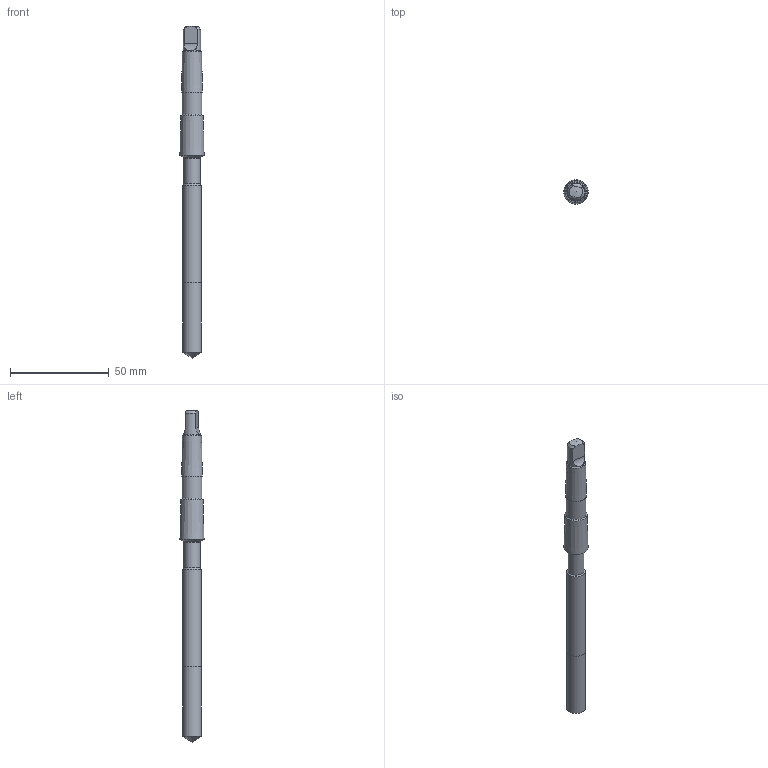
import cadquery as cq
import math

overall_length = 168.0
drill_diameter = 9.5
point_angle = 118.0
cutting_length = 38.2
body_length = 87.5

neck_diameter = 8.1
neck_fillet_radius = 0.7
collar_cone_angle = 30.0

shank_length = 65.5
taper_large_diameter = 12.24
taper_ratio = 0.04988
relief_diameter = 10.1
relief_bottom_height = 20.2
relief_top_height = 32.1

tang_length = 13.1
tang_diameter = 8.7
tang_thickness = 5.2
tang_flat_length = 8.8
tang_runout_radius = 5.0
tang_edge_chamfer_width = 1.0
tang_edge_chamfer_height = 1.2
tang_end_rise = 0.4
tang_turn = -12.5

drill_radius = drill_diameter / 2
neck_radius = neck_diameter / 2
taper_large_radius = taper_large_diameter / 2
relief_radius = relief_diameter / 2
tang_radius = tang_diameter / 2

point_height = drill_radius / math.tan(math.radians(point_angle / 2))
shoulder_rise = drill_radius - neck_radius
taper_bottom_z = overall_length - shank_length
collar_drop = (taper_large_radius - neck_radius) * math.tan(math.radians(collar_cone_angle))
relief_bottom_z = taper_bottom_z + relief_bottom_height
relief_top_z = taper_bottom_z + relief_top_height
tang_base_z = overall_length - tang_length
tang_end_z = overall_length - tang_end_rise


def taper_radius(z):
    """Radius of the Morse taper at height z."""
    return taper_large_radius - (z - taper_bottom_z) * taper_ratio / 2


collar_corner_z = taper_bottom_z - collar_drop
collar_fillet_tangent = neck_fillet_radius * math.tan(math.radians((90 - collar_cone_angle) / 2))
collar_fillet_bottom_z = collar_corner_z - collar_fillet_tangent
collar_fillet_top_z = collar_corner_z + collar_fillet_tangent * math.sin(math.radians(collar_cone_angle))
collar_fillet_top_radius = neck_radius + collar_fillet_tangent * math.cos(math.radians(collar_cone_angle))

relief_step = taper_radius(relief_bottom_z) - relief_radius
tang_step = taper_radius(tang_base_z) - tang_radius


def make_cutting_part():
    """Cylindrical cutting end with its conical point."""
    return (
        cq.Workplane("XZ")
        .moveTo(0, 0)
        .lineTo(drill_radius, point_height)
        .lineTo(drill_radius, cutting_length)
        .lineTo(0, cutting_length)
        .close()
        .revolve(360, (0, 0, 0), (0, 1, 0))
    )


def make_turned_shank():
    """Drill body, neck, relieved taper and round tang as one turned blank."""
    return (
        cq.Workplane("XZ")
        .moveTo(0, cutting_length)
        .lineTo(drill_radius, cutting_length)
        .lineTo(drill_radius, body_length)
        .radiusArc((neck_radius, body_length + shoulder_rise), shoulder_rise)
        .lineTo(neck_radius, collar_fillet_bottom_z)
        .radiusArc((collar_fillet_top_radius, collar_fillet_top_z), neck_fillet_radius)
        .lineTo(taper_large_radius, taper_bottom_z)
        .lineTo(taper_radius(relief_bottom_z), relief_bottom_z)
        .lineTo(relief_radius, relief_bottom_z + relief_step)
        .lineTo(relief_radius, relief_top_z)
        .lineTo(taper_radius(relief_top_z), relief_top_z)
        .lineTo(taper_radius(tang_base_z), tang_base_z)
        .lineTo(tang_radius, tang_base_z + tang_step)
        .lineTo(tang_radius, tang_end_z - tang_edge_chamfer_height)
        .lineTo(tang_radius - tang_edge_chamfer_width, tang_end_z)
        .lineTo(0, overall_length)
        .close()
        .revolve(360, (0, 0, 0), (0, 1, 0))
    )


def make_tang_cutter():
    """Tool for one tang flat, running out in a concave arc at its lower end."""
    flat_y = tang_thickness / 2
    outer_y = flat_y + tang_runout_radius
    flat_bottom_z = overall_length - tang_flat_length
    arc_mid_offset = tang_runout_radius * math.sqrt(0.5)
    return (
        cq.Workplane("YZ")
        .moveTo(flat_y, overall_length)
        .lineTo(flat_y, flat_bottom_z)
        .threePointArc(
            (outer_y - arc_mid_offset, flat_bottom_z - arc_mid_offset),
            (outer_y, flat_bottom_z - tang_runout_radius),
        )
        .lineTo(outer_y, overall_length)
        .close()
        .extrude(taper_large_diameter, both=True)
    )


def make_shank():
    """Turned shank with the two opposite tang flats cut."""
    shank = make_turned_shank()
    for side_angle in (0, 180):
        cutter = make_tang_cutter().rotate((0, 0, 0), (0, 0, 1), tang_turn + side_angle)
        shank = shank.cut(cutter)
    return shank


cutting_part = make_cutting_part()
shank = make_shank()

result = cq.Compound.makeCompound([cutting_part.val(), *shank.vals()])